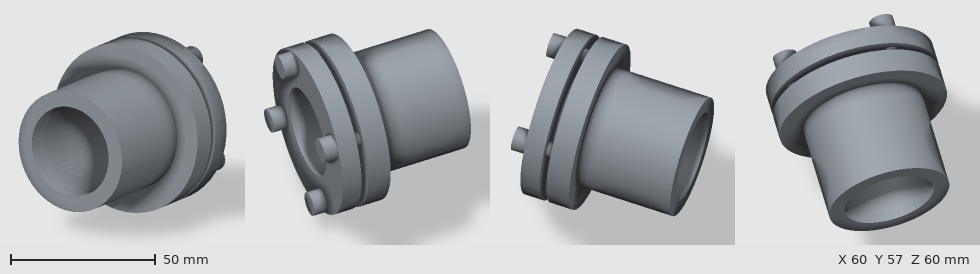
import cadquery as cq

flange_diameter = 60.0
tube_diameter = 43.0
bore_diameter = 32.0
ring_diameter = 40.0
tube_length = 34.0
flange_thickness = 8.45
gap_width = 2.5
clamp_thickness = 7.0
head_height = 5.0
head_diameter = 8.5
shank_diameter = 5.0
bolt_circle_radius = 25.2
bolt_count = 4
first_bolt_angle = 60.0

flange_start = tube_length
gap_start = flange_start + flange_thickness
clamp_start = gap_start + gap_width
head_start = clamp_start + clamp_thickness


def face_plane(y):
    """Plane across the axis whose normal points along +Y and whose local y is Z."""
    return cq.Plane(origin=(0, y, 0), xDir=(-1, 0, 0), normal=(0, 1, 0))


def disc(diameter, start, length):
    return cq.Workplane(face_plane(start)).circle(diameter / 2).extrude(length)


def bolt_cylinders(diameter, start, length):
    """One cylinder per bolt, spaced evenly around the bolt circle."""
    return (
        cq.Workplane(face_plane(start))
        .polarArray(bolt_circle_radius, 180 - first_bolt_angle, 360, bolt_count)
        .circle(diameter / 2)
        .extrude(length)
    )


body = disc(tube_diameter, 0, tube_length)
body = body.union(disc(flange_diameter, flange_start, flange_thickness))
body = body.union(disc(ring_diameter, gap_start, gap_width))
body = body.union(disc(flange_diameter, clamp_start, clamp_thickness))

body = body.union(bolt_cylinders(shank_diameter, gap_start, gap_width))
body = body.union(bolt_cylinders(head_diameter, head_start, head_height))

result = body.cut(disc(bore_diameter, 0, head_start))